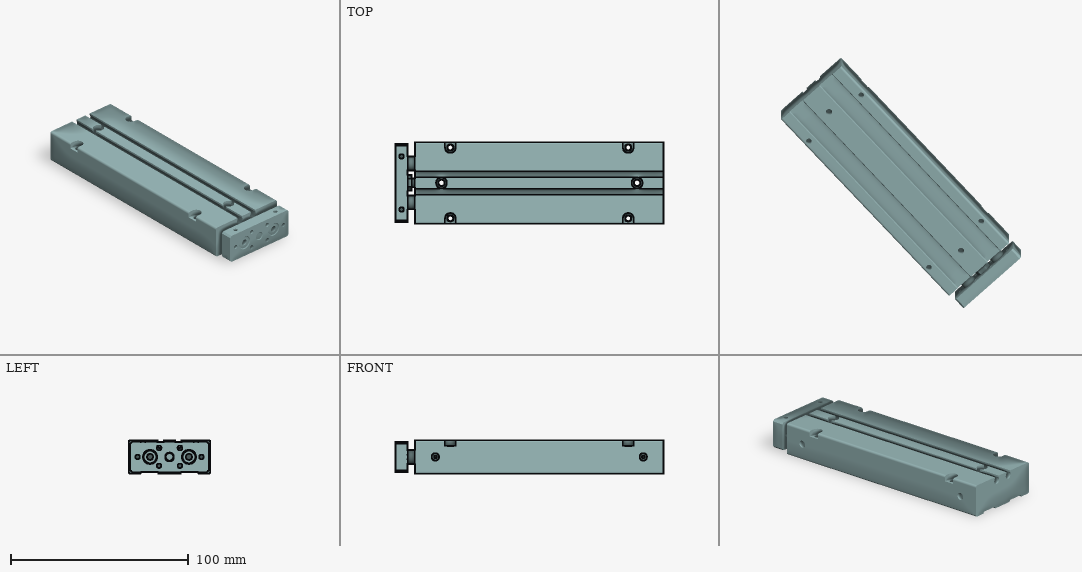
import cadquery as cq
import math

TOTAL_LENGTH = 151.0
HOUSING_LENGTH = 140.0
HOUSING_WIDTH = 46.0
HOUSING_HEIGHT = 19.0
HOUSING_CORNER = 1.24
HOUSING_FRONT = TOTAL_LENGTH - HOUSING_LENGTH
HOUSING_TOP = HOUSING_HEIGHT / 2
HOUSING_BOTTOM = -HOUSING_HEIGHT / 2
HOUSING_MIDDLE = HOUSING_FRONT + HOUSING_LENGTH / 2

GROOVE_SPACING = 10.0
GROOVE_DIAMETER = 4.2
GROOVE_OPENING = 3.3
GROOVE_DEPTH = 4.5
GROOVE_CENTRE_DEPTH = GROOVE_DEPTH - GROOVE_DIAMETER / 2

CHANNEL_INNER_EDGE = 6.2
CHANNEL_OUTER_EDGE = 16.5
CHANNEL_DEPTH = 1.0
CHANNEL_TAPER = 0.5

CORNER_HOLE_DIAMETER = 3.2
CORNER_HOLE_CHAMFER = 0.23
CORNER_COUNTERBORE_DIAMETER = 6.0
CORNER_COUNTERBORE_DEPTH = 3.3
CORNER_HOLE_INSET = 20.0
CORNER_HOLE_OFFSET = 20.0

MIDDLE_HOLE_DIAMETER = 3.5
MIDDLE_COUNTERBORE_DIAMETER = 6.2
MIDDLE_COUNTERBORE_DEPTH = 6.0
MIDDLE_HOLE_INSET = 15.0
GROOVE_LINK_WIDTH = 2.7

PORT_DIAMETER = 4.2
PORT_DEPTH = 6.0
PORT_ORIFICE_DIAMETER = 1.5
PORT_ORIFICE_DEPTH = 3.0
PORT_INSET = 11.5

PLATE_LENGTH = 7.0
PLATE_WIDTH = 44.1
PLATE_HEIGHT = 17.0
PLATE_CHAMFER = 1.0
ROD_DIAMETER = 8.0
ROD_SPACING = 21.9
PISTON_ROD_DIAMETER = 5.0
NUT_ACROSS_FLATS = 7.9
NUT_LENGTH = 2.3

ROD_RECESS_DEPTH = 0.5
SCREW_RECESS_DEPTH = 0.38
ROD_HOLE_DIAMETER = 3.5
ROD_HOLE_DEPTH = 6.0
PLATE_HOLE_DIAMETER = 2.5
FACE_HOLE_OFFSET_Y = 5.9
FACE_HOLE_OFFSET_Z = 5.0
SIDE_HOLE_OFFSET = 18.0
TOP_HOLE_OFFSET = 15.0
TOP_HOLE_DEPTH = 4.5


def rod_along_x(diameter, x_start, x_end, y=0.0, z=0.0):
    """Cylinder parallel to X."""
    return cq.Workplane("YZ", origin=(x_start, y, z)).circle(diameter / 2).extrude(x_end - x_start)


def hole_down(diameter, x, y, z_top, depth):
    """Cylinder going down from z_top."""
    return cq.Workplane("XY", origin=(x, y, z_top)).circle(diameter / 2).extrude(-depth)


def cone_45(radius, depth, centre, direction):
    """Truncated cone narrowing by its own depth along the given direction."""
    cone = cq.Solid.makeCone(radius, radius - depth, depth, cq.Vector(*centre), cq.Vector(*direction))
    return cq.Workplane(obj=cone)


def bar_along_x(length, width, height, x_start):
    """Rectangular bar parallel to X."""
    return cq.Workplane("YZ", origin=(x_start, 0, 0)).rect(width, height).extrude(length)


def sensor_groove(side):
    """Keyhole-shaped groove running the length of the housing."""
    y = side * GROOVE_SPACING / 2
    centre_z = HOUSING_TOP - GROOVE_CENTRE_DEPTH
    channel = rod_along_x(GROOVE_DIAMETER, HOUSING_FRONT, TOTAL_LENGTH, y, centre_z)
    opening = cq.Workplane("XY").box(HOUSING_LENGTH, GROOVE_OPENING, GROOVE_CENTRE_DEPTH)
    return channel.union(opening.translate((HOUSING_MIDDLE, y, HOUSING_TOP - GROOVE_CENTRE_DEPTH / 2)))


def bottom_channel(side):
    """Shallow trapezoidal channel running the length of the underside."""
    channel_top = HOUSING_BOTTOM + CHANNEL_DEPTH
    outline = [
        (side * CHANNEL_INNER_EDGE, HOUSING_BOTTOM),
        (side * (CHANNEL_INNER_EDGE + CHANNEL_TAPER), channel_top),
        (side * (CHANNEL_OUTER_EDGE - CHANNEL_TAPER), channel_top),
        (side * CHANNEL_OUTER_EDGE, HOUSING_BOTTOM),
    ]
    profile = cq.Workplane("YZ", origin=(HOUSING_FRONT, 0, 0)).polyline(outline).close()
    return profile.extrude(HOUSING_LENGTH)


def mounting_hole(diameter, counterbore_diameter, counterbore_depth, x, y):
    """Counterbored hole through the housing height."""
    hole = hole_down(diameter, x, y, HOUSING_TOP, HOUSING_HEIGHT)
    return hole.union(hole_down(counterbore_diameter, x, y, HOUSING_TOP, counterbore_depth))


def corner_hole(x, side):
    """Mounting hole whose counterbore opens out through the side of the housing."""
    y = side * CORNER_HOLE_OFFSET
    reach = HOUSING_WIDTH / 2 - CORNER_HOLE_OFFSET
    opening = cq.Workplane("XY").box(CORNER_COUNTERBORE_DIAMETER, reach, CORNER_COUNTERBORE_DEPTH)
    opening_z = HOUSING_TOP - CORNER_COUNTERBORE_DEPTH / 2
    opening = opening.translate((x, y + side * reach / 2, opening_z))
    hole = mounting_hole(CORNER_HOLE_DIAMETER, CORNER_COUNTERBORE_DIAMETER, CORNER_COUNTERBORE_DEPTH, x, y)
    floor_z = HOUSING_TOP - CORNER_COUNTERBORE_DEPTH
    lead_in_radius = CORNER_HOLE_DIAMETER / 2 + CORNER_HOLE_CHAMFER
    lead_in = cone_45(lead_in_radius, CORNER_HOLE_CHAMFER, (x, y, floor_z), (0, 0, -1))
    return hole.union(opening).union(lead_in)


def middle_hole(x):
    """Central mounting hole with side openings from its counterbore into both sensor grooves."""
    hole = mounting_hole(MIDDLE_HOLE_DIAMETER, MIDDLE_COUNTERBORE_DIAMETER, MIDDLE_COUNTERBORE_DEPTH, x, 0)
    link_length = GROOVE_SPACING - GROOVE_OPENING
    opening = cq.Workplane("XY").box(GROOVE_LINK_WIDTH, link_length, GROOVE_CENTRE_DEPTH)
    return hole.union(opening.translate((x, 0, HOUSING_TOP - GROOVE_CENTRE_DEPTH / 2)))


def air_port(x):
    """Blind port in the -Y side with a small orifice at its bottom."""
    face = cq.Workplane("XZ", origin=(x, -HOUSING_WIDTH / 2, 0))
    port = face.circle(PORT_DIAMETER / 2).extrude(-PORT_DEPTH)
    orifice = face.circle(PORT_ORIFICE_DIAMETER / 2).extrude(-(PORT_DEPTH + PORT_ORIFICE_DEPTH))
    return port.union(orifice)


def both_ends(inset):
    """X positions at the same inset from the two housing ends."""
    return HOUSING_FRONT + inset, TOTAL_LENGTH - inset


def make_housing():
    body = bar_along_x(HOUSING_LENGTH, HOUSING_WIDTH, HOUSING_HEIGHT, HOUSING_FRONT)
    body = body.edges("|X").fillet(HOUSING_CORNER)
    for side in (-1, 1):
        body = body.cut(sensor_groove(side)).cut(bottom_channel(side))
        for x in both_ends(CORNER_HOLE_INSET):
            body = body.cut(corner_hole(x, side))
    for x in both_ends(MIDDLE_HOLE_INSET):
        body = body.cut(middle_hole(x))
    for x in both_ends(PORT_INSET):
        body = body.cut(air_port(x))
    return body


def tapered_recess(diameter, depth, y):
    """Shallow 45-degree recess in the front face of the end plate."""
    return cone_45(diameter / 2, depth, (0, y, 0), (1, 0, 0))


def make_end_plate():
    plate = bar_along_x(PLATE_LENGTH, PLATE_WIDTH, PLATE_HEIGHT, 0)
    plate = plate.edges("|X").chamfer(PLATE_CHAMFER)

    nut_corners = NUT_ACROSS_FLATS / math.cos(math.pi / 6)
    nut = cq.Workplane("YZ", origin=(PLATE_LENGTH, 0, 0)).polygon(6, nut_corners).extrude(NUT_LENGTH)
    plate = plate.union(nut).union(rod_along_x(PISTON_ROD_DIAMETER, PLATE_LENGTH, HOUSING_FRONT))
    plate = plate.cut(tapered_recess(PISTON_ROD_DIAMETER, SCREW_RECESS_DEPTH, 0))

    for side in (-1, 1):
        rod_y = side * ROD_SPACING / 2
        plate = plate.union(rod_along_x(ROD_DIAMETER, PLATE_LENGTH, HOUSING_FRONT, rod_y))
        plate = plate.cut(tapered_recess(ROD_DIAMETER, ROD_RECESS_DEPTH, rod_y))
        plate = plate.cut(rod_along_x(ROD_HOLE_DIAMETER, 0, ROD_HOLE_DEPTH, rod_y))

        plate = plate.cut(rod_along_x(PLATE_HOLE_DIAMETER, 0, PLATE_LENGTH, side * SIDE_HOLE_OFFSET))
        for z in (-FACE_HOLE_OFFSET_Z, FACE_HOLE_OFFSET_Z):
            y = side * FACE_HOLE_OFFSET_Y
            plate = plate.cut(rod_along_x(PLATE_HOLE_DIAMETER, 0, PLATE_LENGTH, y, z))

        top_y = side * TOP_HOLE_OFFSET
        top_hole = hole_down(PLATE_HOLE_DIAMETER, PLATE_LENGTH / 2, top_y, PLATE_HEIGHT / 2, TOP_HOLE_DEPTH)
        plate = plate.cut(top_hole)
    return plate


housing = make_housing()
end_plate = make_end_plate()

result = cq.Compound.makeCompound([housing.val(), end_plate.val()])